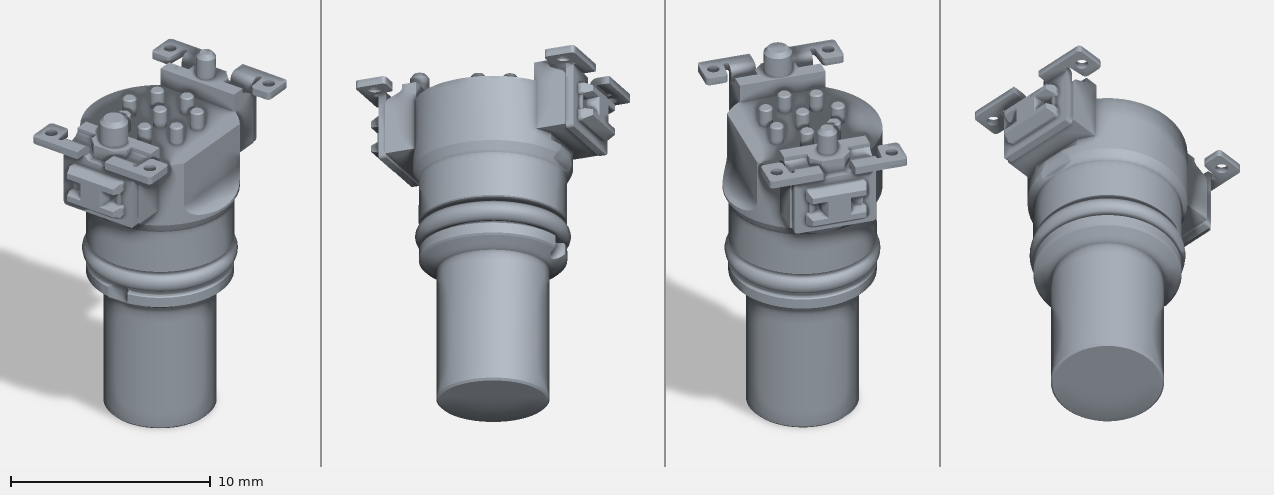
import cadquery as cq
import math


total_height = 18.3
post_base_z = 16.95
head_top_z = 15.95
block_bottom_z = 13.35
plate_bottom_z = 13.21
shelf_z = 13.01
head_edge_z = 12.48
barrel_top_z = 11.95
barrel_bottom_z = 9.57
flange_top_z = 8.18
flange_edge_z = 7.6
tube_top_z = 7.03

head_radius = 8.0 / 2
barrel_radius = 3.71
groove_radius = 2.93
groove_chamfer = 0.16
rim_chamfer = 0.1
edge_break = 0.05
tube_radius = 2.84
tube_chamfer = 0.11
ring_outer_radius = 3.9
ring_section_radius = 0.5
ring_z = 8.9
flange_notch_radius = 0.6
flange_notch_y = -3.77

cut_clearance = 0.18
relief_x = 3.18
relief_arc_radius = 0.88
relief_arc_end_x = 3.7
relief_arc_end_rise = 0.27
shelf_y = 3.75
scoop_top_y = 3.95
scoop_arc_end = (3.8, 12.33)
scoop_arc_radius = 0.92
scoop_floor = (3.71, 12.19)

pin_radius = 0.35
pin_chamfer = 0.07
pin_circle_radius = 1.87
pin_pitch_angle = 50.5
outer_pin_steps = (-3, -2, -1, 0, 1, 2, 3)

block_half_width = 2.25
block_inner_y = 3.22
plate_inner_y = 4.9
sheet = 0.4
plate_outer_y = plate_inner_y + sheet
plate_half_width = 2.15
plate_corner_radius = 0.16
ramp_points = [(3.97, 16.73), (4.1, 16.56), (4.8, 16.25), (plate_inner_y, 16.1)]
nose_wide = 1.06
nose_narrow = 0.6
nose_taper_start_y = 4.41

ear_half_span = 3.62
ear_outer_y = 5.97
ear_inner_y = 4.32
ear_corner_radius = 0.2
ear_root_x = 2.42
ear_tip_x = 2.5
slot_end_y = 5.35
ear_hole_x = 3.02
ear_hole_y = 5.15
ear_hole_radius = 0.64 / 2
gap_half_width = 0.85
gap_bottom_z = 16.2
gap_chamfer = 0.22

latch_z = 14.77
latch_base_y = 5.49
latch_outer_y = 12.1 / 2
latch_half_width = 1.6
latch_half_height = 1.02
latch_slot_half_height = 0.38
latch_web_half_width = 0.77
latch_side_draft = 0.18
latch_top_draft = 0.22
latch_slot_draft = 0.11
latch_corner_radius = 0.16
tongue_half_width = latch_half_width - latch_side_draft
tongue_inner_x = 0.92

post_y = 3.99
front_post_radius = 0.71
front_post_tip_radius = 0.51
rear_post_radius = 0.5
rear_post_tip_radius = 0.31
post_tip_height = 0.24
post_root_depth = 0.18


def box(x_range, y_range, z_range):
    """Box given by its limits along each axis."""
    sizes = [high - low for low, high in (x_range, y_range, z_range)]
    corner = (x_range[0], y_range[0], z_range[0])
    return cq.Workplane("XY").box(*sizes, centered=False).translate(corner)


def across(profile, half_width):
    """Extrude a Y-Z profile symmetrically along X."""
    return profile.close().extrude(half_width, both=True)


def make_body():
    neck_bottom_radius = groove_radius + groove_chamfer
    profile = (
        cq.Workplane("XZ")
        .moveTo(0, 0)
        .lineTo(tube_radius - tube_chamfer, 0)
        .lineTo(tube_radius, tube_chamfer)
        .lineTo(tube_radius, tube_top_z)
        .lineTo(barrel_radius - rim_chamfer, flange_edge_z - rim_chamfer)
        .lineTo(barrel_radius, flange_edge_z)
        .lineTo(barrel_radius, flange_top_z - edge_break)
        .lineTo(barrel_radius - edge_break, flange_top_z)
        .lineTo(neck_bottom_radius, flange_top_z)
        .lineTo(groove_radius, flange_top_z + groove_chamfer)
        .lineTo(groove_radius, barrel_bottom_z - groove_chamfer)
        .lineTo(neck_bottom_radius, barrel_bottom_z)
        .lineTo(barrel_radius - edge_break, barrel_bottom_z)
        .lineTo(barrel_radius, barrel_bottom_z + edge_break)
        .lineTo(barrel_radius, barrel_top_z)
        .lineTo(head_radius, head_edge_z)
        .lineTo(head_radius, head_top_z)
        .lineTo(0, head_top_z)
        .close()
    )
    return profile.revolve(360, (0, 0, 0), (0, 1, 0))


def make_seal_ring():
    ring_radius = ring_outer_radius - ring_section_radius
    section = cq.Workplane("XZ").center(ring_radius, ring_z).circle(ring_section_radius)
    return section.revolve(360, (-ring_radius, 0, 0), (-ring_radius, 1, 0))


def make_flange_notch():
    notch = cq.Workplane("XY", origin=(0, flange_notch_y, tube_top_z))
    return notch.circle(flange_notch_radius).extrude(flange_top_z - tube_top_z)


def make_relief():
    """Flat on +X that sweeps out to the edge of the head through a concave arc."""
    run = relief_arc_end_x - relief_x
    end_angle = math.acos(1 - run / relief_arc_radius)
    arc_end_z = head_edge_z + relief_arc_end_rise
    arc_start_z = arc_end_z + relief_arc_radius * math.sin(end_angle)
    mid_x = relief_x + relief_arc_radius * (1 - math.cos(end_angle / 2))
    mid_z = arc_start_z - relief_arc_radius * math.sin(end_angle / 2)
    clear_x = head_radius + cut_clearance
    clear_z = arc_end_z - (clear_x - relief_arc_end_x) / math.tan(end_angle)
    profile = (
        cq.Workplane("XZ")
        .moveTo(relief_x, head_top_z)
        .lineTo(relief_x, arc_start_z)
        .threePointArc((mid_x, mid_z), (relief_arc_end_x, arc_end_z))
        .lineTo(clear_x, clear_z)
        .lineTo(clear_x, head_top_z)
        .close()
    )
    return profile.extrude(head_radius, both=True)


def make_head_side_cut():
    """Shelf under the clip and the scoop below it, on the +Y side."""
    clear_y = head_radius + cut_clearance
    end_y, end_z = scoop_arc_end
    arc_angle = math.acos(1 - (scoop_top_y - end_y) / scoop_arc_radius)
    arc_start_z = end_z + scoop_arc_radius * math.sin(arc_angle)
    mid_y = scoop_top_y - scoop_arc_radius * (1 - math.cos(arc_angle / 2))
    mid_z = arc_start_z - scoop_arc_radius * math.sin(arc_angle / 2)
    profile = (
        cq.Workplane("YZ")
        .moveTo(clear_y, head_top_z)
        .lineTo(shelf_y, head_top_z)
        .lineTo(shelf_y, shelf_z)
        .lineTo(scoop_top_y, shelf_z)
        .lineTo(scoop_top_y, arc_start_z)
        .threePointArc((mid_y, mid_z), scoop_arc_end)
        .lineTo(*scoop_floor)
        .lineTo(scoop_floor[0], barrel_top_z)
        .lineTo(clear_y, barrel_top_z)
    )
    return across(profile, head_radius)


def make_pins():
    spots = [(0, 0)]
    for step in outer_pin_steps:
        angle = math.pi + step * math.radians(pin_pitch_angle)
        spots.append((pin_circle_radius * math.cos(angle), pin_circle_radius * math.sin(angle)))
    pins = cq.Workplane("XY", origin=(0, 0, head_top_z)).pushPoints(spots)
    pins = pins.circle(pin_radius).extrude(post_base_z - head_top_z)
    return pins.faces(">Z").edges().chamfer(pin_chamfer)


def make_post(y, radius, tip_radius):
    profile = (
        cq.Workplane("XZ")
        .moveTo(0, post_base_z - post_root_depth)
        .lineTo(radius, post_base_z - post_root_depth)
        .lineTo(radius, total_height - post_tip_height)
        .lineTo(tip_radius, total_height)
        .lineTo(0, total_height)
        .close()
    )
    return profile.revolve(360, (0, 0, 0), (0, 1, 0)).translate((0, y, 0))


def make_block():
    """Clip block with ramps on either side of a tapered nose."""
    block = box(
        (-block_half_width, block_half_width),
        (block_inner_y, plate_inner_y),
        (block_bottom_z, post_base_z),
    )
    ramp_start_y = ramp_points[0][0]
    ramp = cq.Workplane("YZ").moveTo(ramp_start_y, post_base_z)
    for point in ramp_points:
        ramp = ramp.lineTo(*point)
    ramp = across(ramp.lineTo(plate_inner_y, post_base_z), block_half_width)

    nose_taper_end_y = nose_taper_start_y + nose_wide - nose_narrow
    nose = (
        cq.Workplane("XY", origin=(0, 0, block_bottom_z))
        .moveTo(-nose_wide, block_inner_y)
        .lineTo(nose_wide, block_inner_y)
        .lineTo(nose_wide, nose_taper_start_y)
        .lineTo(nose_narrow, nose_taper_end_y)
        .lineTo(nose_narrow, plate_inner_y)
        .lineTo(-nose_narrow, plate_inner_y)
        .lineTo(-nose_narrow, nose_taper_end_y)
        .lineTo(-nose_wide, nose_taper_start_y)
        .close()
        .extrude(post_base_z - block_bottom_z)
    )
    return block.cut(ramp).union(nose)


def make_plate():
    """Bent sheet: upright plate, rounded bend and the flange that carries the ears."""
    bend_start_z = post_base_z - sheet
    diagonal = sheet * math.sqrt(0.5)
    profile = (
        cq.Workplane("YZ")
        .moveTo(plate_inner_y, plate_bottom_z)
        .lineTo(plate_inner_y, bend_start_z)
        .threePointArc(
            (plate_outer_y - diagonal, bend_start_z + diagonal),
            (plate_outer_y, post_base_z),
        )
        .lineTo(ear_outer_y, post_base_z)
        .lineTo(ear_outer_y, bend_start_z)
        .lineTo(plate_outer_y, bend_start_z)
        .lineTo(plate_outer_y, plate_bottom_z)
    )
    sheet_body = across(profile, plate_half_width)
    sheet_body = sheet_body.faces("<Z").edges("|Y").fillet(plate_corner_radius)
    for side in (-1, 1):
        sheet_body = sheet_body.union(make_ear(side))

    gap = box(
        (-gap_half_width, gap_half_width),
        (plate_inner_y, ear_outer_y),
        (gap_bottom_z, post_base_z),
    )
    return sheet_body.cut(gap.faces("<Z").edges("|Y").chamfer(gap_chamfer))


def make_ear(side):
    """Drilled ear on one side (+1 or -1 in X) with a round-ended slot beside the bend."""
    slot_middle_x = (plate_half_width + ear_root_x) / 2
    slot_tip_y = slot_end_y + (ear_root_x - plate_half_width) / 2
    ear = (
        cq.Workplane("XY", origin=(0, 0, post_base_z - sheet))
        .moveTo(side * gap_half_width, ear_outer_y)
        .lineTo(side * ear_half_span, ear_outer_y)
        .lineTo(side * ear_half_span, ear_inner_y)
        .lineTo(side * ear_tip_x, ear_inner_y)
        .lineTo(side * ear_root_x, slot_end_y)
        .threePointArc((side * slot_middle_x, slot_tip_y), (side * plate_half_width, slot_end_y))
        .lineTo(side * gap_half_width, slot_end_y)
        .close()
        .extrude(sheet)
    )
    outer_end = ">X" if side > 0 else "<X"
    ear = ear.faces(outer_end).edges("|Z").fillet(ear_corner_radius)
    inner_corner = (side * ear_tip_x, ear_inner_y, post_base_z - sheet / 2)
    nearest_edge = cq.selectors.NearestToPointSelector(inner_corner)
    ear = ear.edges("|Z").edges(nearest_edge).fillet(ear_corner_radius)
    hole = cq.Workplane("XY", origin=(side * ear_hole_x, ear_hole_y, post_base_z - sheet))
    return ear.cut(hole.circle(ear_hole_radius).extrude(sheet))


def draw_latch_outline(plane, tip=False):
    """Draw the H outline facing +Y (local x along Z, local y along X), drafted inward at the tip."""
    top = latch_half_height
    side = latch_half_width
    slot = latch_slot_half_height
    web = latch_web_half_width
    if tip:
        top -= latch_top_draft
        side -= latch_side_draft
        slot += latch_slot_draft
        web -= latch_side_draft
    half = [(top, side), (slot, side), (slot, web), (-slot, web), (-slot, side), (-top, side)]
    other_half = [(z, -x) for z, x in reversed(half)]
    return plane.polyline(half + other_half).close()


def make_latch():
    """H-shaped latch head with drafted sides and rounded wing corners."""
    base_height = latch_base_y - plate_inner_y
    tip_height = latch_outer_y - latch_base_y
    plane = cq.Workplane("ZX", origin=(0, plate_inner_y, latch_z))
    base = draw_latch_outline(plane).extrude(base_height)
    envelope = draw_latch_outline(plane).extrude(base_height + tip_height)
    envelope = envelope.edges("|Y").edges("<X or >X").fillet(latch_corner_radius)

    head = draw_latch_outline(plane.workplane(offset=base_height))
    head = draw_latch_outline(head.workplane(offset=tip_height), tip=True).loft(ruled=True)
    return base.union(head).intersect(envelope)


def make_tongue(side):
    """Tongue in a latch slot, rounded over towards the opening beside the web."""
    radius = tongue_half_width - tongue_inner_x
    diagonal = radius * math.sqrt(0.5)
    center_y = latch_base_y - radius
    tongue = (
        cq.Workplane("XY", origin=(0, 0, latch_z - latch_slot_half_height))
        .moveTo(side * tongue_half_width, plate_inner_y)
        .lineTo(side * tongue_half_width, latch_base_y)
        .threePointArc(
            (side * (tongue_half_width - diagonal), center_y + diagonal),
            (side * tongue_inner_x, center_y),
        )
        .lineTo(side * tongue_inner_x, plate_inner_y)
        .close()
    )
    return tongue.extrude(2 * latch_slot_half_height)


def make_clip():
    window = box(
        (-tongue_half_width, tongue_half_width),
        (plate_inner_y, plate_outer_y),
        (latch_z - latch_slot_half_height, latch_z + latch_slot_half_height),
    )
    clip = make_block().union(make_plate().cut(window)).union(make_latch())
    for side in (-1, 1):
        clip = clip.union(make_tongue(side))
    return clip


body = make_body().cut(make_relief()).cut(make_flange_notch())
clip = make_clip()
side_cut = make_head_side_cut()
body = body.cut(side_cut).cut(side_cut.mirror("XZ"))
body = body.union(clip).union(clip.mirror("XZ"))
body = body.union(make_seal_ring()).union(make_pins())
body = body.union(make_post(-post_y, front_post_radius, front_post_tip_radius))
result = body.union(make_post(post_y, rear_post_radius, rear_post_tip_radius))